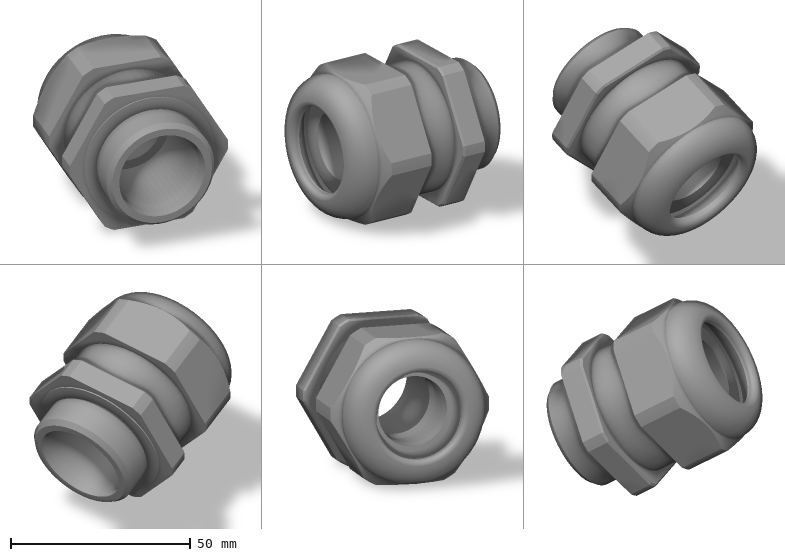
import cadquery as cq
import math

LENGTH = 52.0
ACROSS_FLATS = 42.0

NUT_END = 23.15
NUT_CORNER_DIA = 46.5
DOME_DIA = 41.3
DOME_END = 6.95
DOME_BAND_END = 7.5
NUT_CHAMFER_END = 9.85

MOUTH_DIA = 28.2
LIP_DIA = 25.1
LIP_RADIUS = (MOUTH_DIA - LIP_DIA) / 2
THROAT_DIA = 25.3
THROAT_END = 2.8
NUT_BORE_DIA = 34.8
NUT_BORE_START = THROAT_END + (NUT_BORE_DIA - THROAT_DIA) / 2

SEAL_DIA = 28.0
SEAL_HOLE_DIA = 20.0
SEAL_FRONT = 7.25
SEAL_END = NUT_END

SLEEVE_DIA = 32.0
SLEEVE_EDGE_RADIUS = 1.35
SLEEVE_END = 13.5
BARREL_DIA = 37.55
BODY_BORE_DIA = 25.3

FLANGE_CORNER_DIA = 46.8
FLANGE_START = 33.9
FLANGE_END = 40.9
FLANGE_CHAMFER_LENGTH = 0.55
FLANGE_CHAMFER_DEPTH = 0.5
COLLAR_DIA = 38.2
COLLAR_END = 41.3

UNDERCUT_DIA = 29.85
THREAD_DIA = 31.8
THREAD_START = 42.3
THREAD_CHAMFER_LENGTH = 1.45
THREAD_CHAMFER_DEPTH = 1.2


def revolve_about_x(profile):
    """Turn an open (x, radius) profile, closed by a straight line, about the X axis."""
    return profile.close().revolve(360, (0, 0, 0), (1, 0, 0))


def cylinder(diameter, start, end):
    """Round bar along X."""
    return cq.Workplane("YZ").workplane(offset=start).circle(diameter / 2).extrude(end - start)


def hexagon(start, end):
    """Hexagonal bar along X with flats facing +Z and -Z."""
    across_corners = ACROSS_FLATS / math.cos(math.pi / 6)
    return cq.Workplane("YZ").workplane(offset=start).polygon(6, across_corners).extrude(end - start)


def make_nut():
    """Turned shell with a domed front, cut to a hexagon."""
    lip_center_radius = MOUTH_DIA / 2
    throat_drop = lip_center_radius - THROAT_DIA / 2
    lip_end = LIP_RADIUS + math.sqrt(LIP_RADIUS**2 - throat_drop**2)
    diagonal = LIP_RADIUS * math.sqrt(0.5)
    lip_middle = (LIP_RADIUS - diagonal, lip_center_radius - diagonal)

    turned = revolve_about_x(
        cq.Workplane("XY")
        .moveTo(NUT_END, NUT_BORE_DIA / 2)
        .lineTo(NUT_END, NUT_CORNER_DIA / 2)
        .lineTo(NUT_CHAMFER_END, NUT_CORNER_DIA / 2)
        .lineTo(DOME_BAND_END, DOME_DIA / 2)
        .lineTo(DOME_END, DOME_DIA / 2)
        .tangentArcPoint((0, MOUTH_DIA / 2), relative=False)
        .threePointArc(lip_middle, (lip_end, THROAT_DIA / 2))
        .lineTo(THROAT_END, THROAT_DIA / 2)
        .lineTo(NUT_BORE_START, NUT_BORE_DIA / 2)
    )
    return turned.intersect(hexagon(0, NUT_END))


def make_seal():
    """Plain ring that grips the cable."""
    hole = cylinder(SEAL_HOLE_DIA, SEAL_FRONT, SEAL_END)
    return cylinder(SEAL_DIA, SEAL_FRONT, SEAL_END).cut(hole)


def make_sleeve():
    """Clamping sleeve with a rounded front edge."""
    sleeve = cylinder(SLEEVE_DIA, SEAL_FRONT, SLEEVE_END)
    return sleeve.faces("<X").edges().fillet(SLEEVE_EDGE_RADIUS)


def make_flange():
    """Hexagon with rounded corners, chamfered all round its front face."""
    blank = hexagon(FLANGE_START, FLANGE_END).intersect(
        cylinder(FLANGE_CORNER_DIA, FLANGE_START, FLANGE_END)
    )
    return blank.faces("<X").chamfer(FLANGE_CHAMFER_DEPTH, FLANGE_CHAMFER_LENGTH)


def make_thread():
    """Plain thread cylinder with a concave undercut in front and a chamfered end."""
    thread_radius = THREAD_DIA / 2
    undercut_radius = UNDERCUT_DIA / 2
    return revolve_about_x(
        cq.Workplane("XY")
        .moveTo(COLLAR_END, 0)
        .lineTo(COLLAR_END, undercut_radius)
        .radiusArc((THREAD_START, thread_radius), undercut_radius - thread_radius)
        .lineTo(LENGTH - THREAD_CHAMFER_LENGTH, thread_radius)
        .lineTo(LENGTH, thread_radius - THREAD_CHAMFER_DEPTH)
        .lineTo(LENGTH, 0)
    )


def make_body():
    """Sleeve, barrel, flange and thread in one piece, bored to seat the seal."""
    outside = (
        make_sleeve()
        .union(cylinder(NUT_BORE_DIA, SLEEVE_END, NUT_END))
        .union(cylinder(BARREL_DIA, NUT_END, FLANGE_START))
        .union(make_flange())
        .union(cylinder(COLLAR_DIA, FLANGE_END, COLLAR_END))
        .union(make_thread())
    )
    seal_seat = cylinder(SEAL_DIA, SEAL_FRONT, SEAL_END)
    bore = cylinder(BODY_BORE_DIA, SEAL_END, LENGTH)
    return outside.cut(seal_seat).cut(bore)


nut = make_nut()
seal = make_seal()
body = make_body()
result = cq.Compound.makeCompound([nut.val(), seal.val(), body.val()])